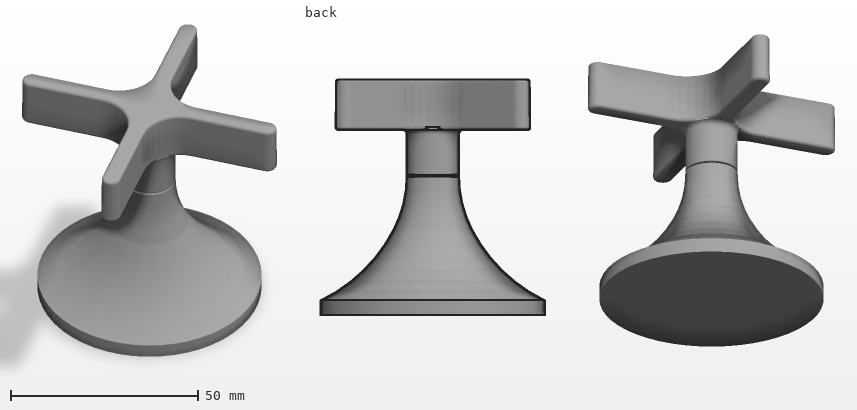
import cadquery as cq
import math

base_radius = 30.0
rim_height = 4.0
rim_edge_radius = 0.3
base_height = 37.0
neck_radius = 7.0
upper_flare_radius = 31.0
flare_joint_height = 22.8

stem_radius = 5.0
stem_height = 0.5
hub_radius = neck_radius
hub_edge_radius = 0.3
total_height = 63.0
arm_height = 13.5
arm_half_width = 2.6
arm_tip_distance = 33.1
arm_corner_radius = 10.0
arm_draft_angle = 0.5
arm_edge_radius = 0.8
hub_flare_radius = 1.0

arm_count = 4
first_arm_angle = 45
hub_bottom = base_height + stem_height
arm_bottom = total_height - arm_height


def build_base():
    """Flange and neck, turned about Z, with two tangent concave arcs for the flare."""
    drop = base_height - flare_joint_height
    joint_angle = math.asin(drop / upper_flare_radius)
    flare_center_x = neck_radius + upper_flare_radius

    def upper_flare_point(angle):
        x = flare_center_x - upper_flare_radius * math.cos(angle)
        z = base_height - upper_flare_radius * math.sin(angle)
        return (x, z)

    rim_inner_radius = base_radius - rim_edge_radius
    rim_top_edge = (rim_inner_radius, rim_height)
    return (
        cq.Workplane("XZ")
        .lineTo(0, base_height)
        .lineTo(neck_radius, base_height)
        .threePointArc(upper_flare_point(joint_angle / 2), upper_flare_point(joint_angle))
        .tangentArcPoint(rim_top_edge, relative=False)
        .radiusArc((base_radius, rim_height - rim_edge_radius), rim_edge_radius)
        .lineTo(base_radius, 0)
        .close()
        .revolve(360, (0, 0), (0, 1))
    )


def cross_outline():
    """Closed outline of the four round-tipped arms with rounded inner corners."""
    diagonal = math.sqrt(2)
    side_start = arm_half_width + arm_corner_radius
    corner_middle = side_start * diagonal - arm_corner_radius

    def arm_point(along, across, angle):
        """Point given along and across an arm that points at the angle."""
        turn = math.radians(angle)
        x = along * math.cos(turn) - across * math.sin(turn)
        y = along * math.sin(turn) + across * math.cos(turn)
        return (x, y)

    outline = cq.Workplane("XY", origin=(0, 0, arm_bottom))
    outline = outline.moveTo(*arm_point(side_start, -arm_half_width, first_arm_angle))
    angle_step = 360 / arm_count
    for index in range(arm_count):
        angle = first_arm_angle + index * angle_step
        tip_end = arm_point(arm_tip_distance + arm_half_width, 0, angle)
        corner = arm_point(corner_middle, 0, angle + angle_step / 2)
        next_side = arm_point(side_start, -arm_half_width, angle + angle_step)
        outline = (
            outline
            .lineTo(*arm_point(arm_tip_distance, -arm_half_width, angle))
            .threePointArc(tip_end, arm_point(arm_tip_distance, arm_half_width, angle))
            .lineTo(*arm_point(side_start, arm_half_width, angle))
            .threePointArc(corner, next_side)
        )
    return outline.close()


def build_arms():
    """Drafted cross with rounded top and bottom edges."""
    arms = cross_outline().extrude(arm_height, taper=arm_draft_angle)
    return arms.faces("<Z or >Z").edges().fillet(arm_edge_radius)


def build_stem():
    """Stem and hub, turned about Z, with a rounded lower edge."""
    return (
        cq.Workplane("XZ")
        .moveTo(0, base_height)
        .lineTo(stem_radius, base_height)
        .lineTo(stem_radius, hub_bottom)
        .lineTo(hub_radius - hub_edge_radius, hub_bottom)
        .radiusArc((hub_radius, hub_bottom + hub_edge_radius), -hub_edge_radius)
        .lineTo(hub_radius, arm_bottom + arm_edge_radius)
        .lineTo(0, arm_bottom + arm_edge_radius)
        .close()
        .revolve(360, (0, 0), (0, 1))
    )


def build_hub_flare():
    """Concave flare where the hub meets the arms, trimmed to the sides of the cross."""
    flare_bottom = arm_bottom - hub_flare_radius
    flare_top = arm_bottom + arm_edge_radius
    flare = (
        cq.Workplane("XZ")
        .moveTo(0, flare_bottom)
        .lineTo(hub_radius, flare_bottom)
        .radiusArc((hub_radius + hub_flare_radius, arm_bottom), hub_flare_radius)
        .lineTo(hub_radius + hub_flare_radius, flare_top)
        .lineTo(0, flare_top)
        .close()
        .revolve(360, (0, 0), (0, 1))
    )
    trim = cross_outline().extrude(arm_height, both=True)
    return flare.intersect(trim)


def build_handle():
    """Cross arms, hub and stem joined into one solid."""
    return build_arms().union(build_stem()).union(build_hub_flare())


base = build_base()
handle = build_handle()
result = cq.Compound.makeCompound([base.val(), handle.val()])